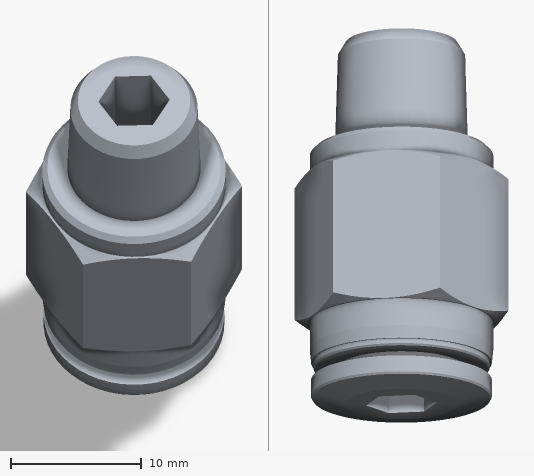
import cadquery as cq
import math

total_height = 28.6
ring_edge_z = 0.45
ring_rim_z = 0.63
ring_top_z = 1.9
neck_bottom_z = 2.23
body_bottom_z = 2.77
lip_z = 2.92
lower_band_z = 3.3
upper_band_z = 4.25
hex_bottom_z = 6.4
hex_top_z = 18.13
collar_top_z = 20.13
collar_chamfer_height = 0.4
thread_chamfer_height = 0.97

ring_face_radius = 4.23
ring_edge_radius = 6.8
ring_radius = 13.8 / 2
neck_flare_radius = 5.2
neck_radius = 9.92 / 2
body_bottom_radius = 6.64
lip_radius = 13.5 / 2
band_radius = 13.8 / 2
body_radius = 14.0 / 2
collar_face_radius = 6.6
thread_base_radius = 5.1
thread_end_radius = 4.85
thread_face_radius = 4.3

hex_width = 14.3
hex_chamfer_height = 0.63
socket_width = 4.72


def hex_prism(width, bottom_z, top_z):
    corner_diameter = width / math.cos(math.pi / 6)
    return (
        cq.Workplane("XY")
        .workplane(offset=bottom_z)
        .transformed(rotate=(0, 0, 30))
        .polygon(6, corner_diameter)
        .extrude(top_z - bottom_z)
    )


def revolve_profile(points):
    """Revolve a closed (radius, height) outline about the Z axis."""
    return cq.Workplane("XZ").polyline(points).close().revolve(360, (0, 0), (0, 1))


turned_body = revolve_profile([
    (0, 0),
    (ring_face_radius, 0),
    (ring_edge_radius, ring_edge_z),
    (ring_radius, ring_rim_z),
    (ring_radius, ring_top_z),
    (neck_flare_radius, ring_top_z),
    (neck_radius, neck_bottom_z),
    (neck_radius, body_bottom_z),
    (body_bottom_radius, body_bottom_z),
    (lip_radius, lip_z),
    (lip_radius, lower_band_z),
    (band_radius, lower_band_z),
    (body_radius, upper_band_z),
    (body_radius, collar_top_z - collar_chamfer_height),
    (collar_face_radius, collar_top_z),
    (thread_base_radius, collar_top_z),
    (thread_end_radius, total_height - thread_chamfer_height),
    (thread_face_radius, total_height),
    (0, total_height),
])

flat_radius = hex_width / 2
corner_radius = flat_radius / math.cos(math.pi / 6)
corner_cones = revolve_profile([
    (0, hex_bottom_z),
    (flat_radius, hex_bottom_z),
    (corner_radius, hex_bottom_z + hex_chamfer_height),
    (corner_radius, hex_top_z - hex_chamfer_height),
    (flat_radius, hex_top_z),
    (0, hex_top_z),
])
wrench_hex = hex_prism(hex_width, hex_bottom_z, hex_top_z).intersect(corner_cones)

socket = hex_prism(socket_width, 0, total_height)

result = turned_body.union(wrench_hex).cut(socket)